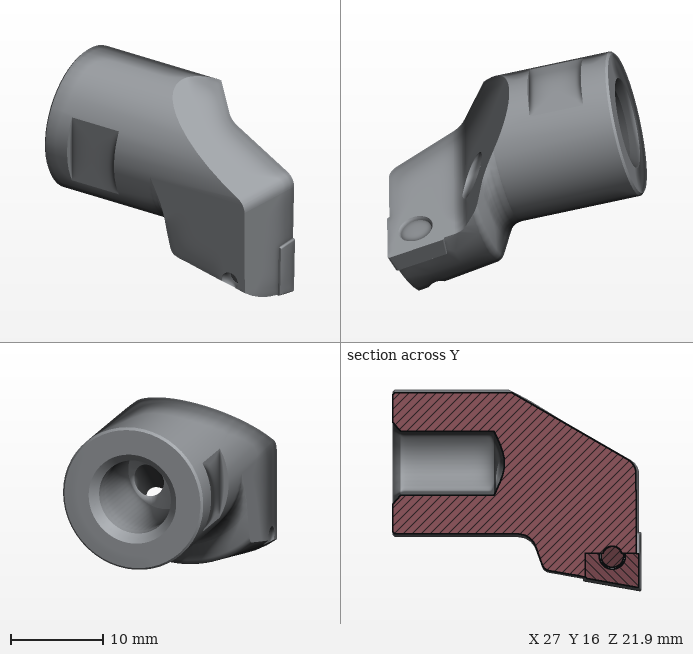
import cadquery as cq
import math


tip_x = 27.0
tip_z = -13.87
seat_tilt = 2.0
side_clearance = 7.0
draft = math.tan(math.radians(side_clearance))

shank_radius = 8.0
shank_chamfer = 0.25
flat_start_x = 3.0
flat_length = 6.0
flat_offset = 7.0

bore_radius = 4.1
bore_mouth_radius = 5.0
bore_depth = 11.0
drill_point_half_angle = 59.0
coolant_radius = 1.5
coolant_start = (10.5, 2.0, -0.2)
coolant_angle = 40.0
coolant_length = 13.0

neck_radius = 2.0
neck_corner_x = 15.03
flare_angle = 70.0
heel_x = 16.4
heel_radius = 1.0
heel_slope = 10.0
end_x = 26.74
blank_end_x = 29.0

slope_start_x = 12.6
slope_angle = 30.0
nose_radius = 1.8
relief_line_sum = 18.57
relief_corner_radius = 2.0
trim_reach = 30.0

inscribed_radius = 3.175
insert_thickness = 2.38
insert_angle = 80.0
insert_corner_radius = 0.2
insert_hole_radius = 1.4
countersink_radius = 1.925
countersink_half_angle = 30.0

screw_head_radius = 1.7
screw_neck_radius = 1.25
screw_shank_radius = 1.025
screw_end_depth = 6.5
screw_end_chamfer = 0.2

half_angle = math.radians(insert_angle / 2)
edge_length = 2 * inscribed_radius / math.sin(2 * half_angle)
tip_overhang = insert_corner_radius * (1 / math.tan(half_angle) - 1)
sharp_tip_z = tip_z - tip_overhang
center_x = tip_x - inscribed_radius
center_z = sharp_tip_z + inscribed_radius / math.tan(half_angle)
countersink_slope = math.tan(math.radians(countersink_half_angle))
countersink_depth = (countersink_radius - insert_hole_radius) / countersink_slope


def tilted(shape):
    """Lean a shape about the X-parallel line through the cutting tip."""
    return shape.rotate((0, 0, tip_z), (1, 0, tip_z), -seat_tilt)


def turned_about_insert_axis(profile):
    """Revolve a (radius, y) profile about the axis of the insert hole."""
    outline = cq.Workplane("XY", origin=(center_x, 0, center_z)).polyline(profile).close()
    return tilted(outline.revolve(360, (0, 0), (0, 1)))


def insert_blank():
    """Rhombic plate with rounded corners whose sides narrow away from the rake face."""
    slope = math.radians(heel_slope)
    run = edge_length * math.cos(slope)
    rise = edge_length * math.sin(slope)
    outline = [
        (tip_x, sharp_tip_z),
        (tip_x, sharp_tip_z + edge_length),
        (tip_x - run, sharp_tip_z + edge_length + rise),
        (tip_x - run, sharp_tip_z + rise),
    ]
    plate = cq.Workplane("XZ").polyline(outline).close().extrude(insert_thickness, taper=side_clearance)
    corner_edges = plate.edges("not(#Y)")
    return tilted(corner_edges.fillet(insert_corner_radius))


def make_insert():
    hole = turned_about_insert_axis([
        (0, 0),
        (countersink_radius, 0),
        (insert_hole_radius, -countersink_depth),
        (insert_hole_radius, -insert_thickness),
        (0, -insert_thickness),
    ])
    return insert_blank().cut(hole)


def make_screw():
    head_top = (screw_head_radius - insert_hole_radius) / countersink_slope - countersink_depth
    return turned_about_insert_axis([
        (0, head_top),
        (screw_head_radius, head_top),
        (insert_hole_radius, -countersink_depth),
        (screw_neck_radius, -countersink_depth),
        (screw_neck_radius, -insert_thickness),
        (screw_shank_radius, -insert_thickness),
        (screw_shank_radius, screw_end_chamfer - screw_end_depth),
        (screw_shank_radius - screw_end_chamfer, -screw_end_depth),
        (0, -screw_end_depth),
    ])


def shank():
    body = cq.Workplane("YZ").circle(shank_radius).extrude(blank_end_x)
    return body.faces("<X").chamfer(shank_chamfer)


def unit(degrees):
    """Unit vector at an angle above the X axis."""
    return cq.Vector(math.cos(math.radians(degrees)), math.sin(math.radians(degrees)))


def rounded_corner(corner, angle_in, angle_out, radius):
    """Start, middle and end of the arc that rounds the turn from one direction to another."""
    turn = math.radians(angle_out - angle_in)
    tangent_length = radius * math.tan(abs(turn) / 2)
    corner = cq.Vector(*corner)
    start = corner - unit(angle_in) * tangent_length
    end = corner + unit(angle_out) * tangent_length
    toward_center = (unit(angle_out) - unit(angle_in)).normalized()
    middle = corner + toward_center * (radius / math.cos(turn / 2) - radius)
    return [point.toTuple()[:2] for point in (start, middle, end)]


def flared_head():
    """Lower half of a revolved flare, kept within the width of the shank."""
    heel_r = shank_radius + (heel_x - neck_corner_x) * math.tan(math.radians(flare_angle))
    end_r = heel_r + (blank_end_x - heel_x) * math.tan(math.radians(heel_slope))
    neck = rounded_corner((neck_corner_x, shank_radius), 0, flare_angle, neck_radius)
    heel = rounded_corner((heel_x, heel_r), flare_angle, heel_slope, heel_radius)
    flare = (
        cq.Workplane("XY")
        .moveTo(neck[0][0], 0)
        .lineTo(*neck[0])
        .threePointArc(*neck[1:])
        .lineTo(*heel[0])
        .threePointArc(*heel[1:])
        .lineTo(blank_end_x, end_r)
        .lineTo(blank_end_x, 0)
        .close()
        .revolve(360, (0, 0), (1, 0))
    )
    below_axis = (
        cq.Workplane("XY")
        .box(trim_reach, 2 * shank_radius, trim_reach, centered=(False, True, False))
        .translate((0, 0, -trim_reach))
    )
    return flare.intersect(below_axis)


def nose_trim():
    """Everything outside the sloped top, the rounded nose and the drafted end face."""
    top_rise = math.tan(math.radians(slope_angle))
    corner_z = shank_radius - (end_x - slope_start_x) * top_rise
    nose = rounded_corner((end_x, corner_z), -slope_angle, -90, nose_radius)
    outline = (
        cq.Workplane("XZ")
        .moveTo(0, shank_radius + slope_start_x * top_rise)
        .lineTo(*nose[0])
        .threePointArc(*nose[1:])
        .lineTo(end_x, -trim_reach)
        .lineTo(2 * trim_reach, -trim_reach)
        .lineTo(2 * trim_reach, trim_reach)
        .lineTo(0, trim_reach)
        .close()
    )
    back = cq.Vector(-draft, -1, 0) * trim_reach
    wire = outline.val().translate(back)
    return tilted(cq.Workplane(cq.Solid.extrudeLinear(wire, [], back * -2)))


def rake_relief():
    """Space in front of the rake face: a diagonal face, a rounded corner and the rake plane."""
    corner = rounded_corner((relief_line_sum, 0), -45, 0, relief_corner_radius)
    outline = (
        cq.Workplane("XY", origin=(0, 0, -trim_reach))
        .moveTo(relief_line_sum - trim_reach, trim_reach)
        .lineTo(*corner[0])
        .threePointArc(*corner[1:])
        .lineTo(2 * trim_reach, 0)
        .lineTo(2 * trim_reach, trim_reach)
        .close()
    )
    return tilted(outline.extrude(2 * trim_reach))


def wrench_slots():
    """Two flat-bottomed slots on opposite sides of the shank."""
    slots = cq.Workplane("XY")
    depth = shank_radius - flat_offset
    for side in (-1, 1):
        slot = cq.Workplane("XY").box(flat_length, depth, 2 * shank_radius)
        slot = slot.translate((flat_start_x + flat_length / 2, side * (flat_offset + depth / 2), 0))
        slots = slots.add(slot)
    return slots.combine()


def bore():
    """Chamfered blind bore with a drill-point bottom."""
    point_depth = bore_radius / math.tan(math.radians(drill_point_half_angle))
    profile = [
        (0, 0),
        (0, bore_mouth_radius),
        (bore_mouth_radius - bore_radius, bore_radius),
        (bore_depth, bore_radius),
        (bore_depth + point_depth, 0),
    ]
    return cq.Workplane("XY").polyline(profile).close().revolve(360, (0, 0), (1, 0))


def coolant_hole():
    """Hole from the bore bottom, descending toward the cutting tip."""
    angle = math.radians(coolant_angle)
    direction = cq.Vector(math.cos(angle), 0, -math.sin(angle))
    return cq.Solid.makeCylinder(coolant_radius, coolant_length, cq.Vector(*coolant_start), direction)


def screw_hole():
    reach = 2 * shank_radius
    return turned_about_insert_axis([
        (0, 0),
        (screw_shank_radius, 0),
        (screw_shank_radius, -reach),
        (0, -reach),
    ])


def make_holder():
    body = shank().union(flared_head())
    body = body.cut(nose_trim()).cut(rake_relief())
    body = body.cut(wrench_slots()).cut(bore()).cut(coolant_hole())
    return body.cut(insert_blank()).cut(screw_hole())


holder = make_holder()
insert = make_insert()
screw = make_screw()

result = cq.Compound.makeCompound([body.solids().val() for body in (holder, insert, screw)])